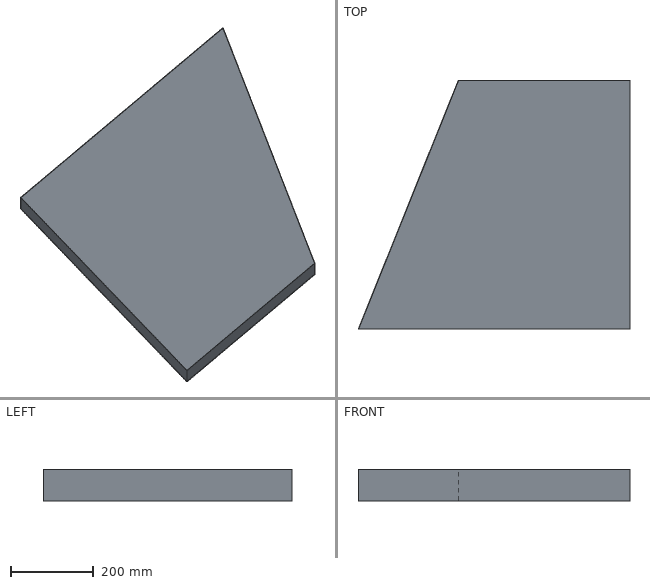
import cadquery as cq

front_length = 655.5
back_length = 414.5
depth = 600.0
thickness = 76.0

slant_offset = front_length - back_length
outline = [
    (0, 0),
    (front_length, 0),
    (front_length, depth),
    (slant_offset, depth),
]

result = cq.Workplane("XY").polyline(outline).close().extrude(thickness)